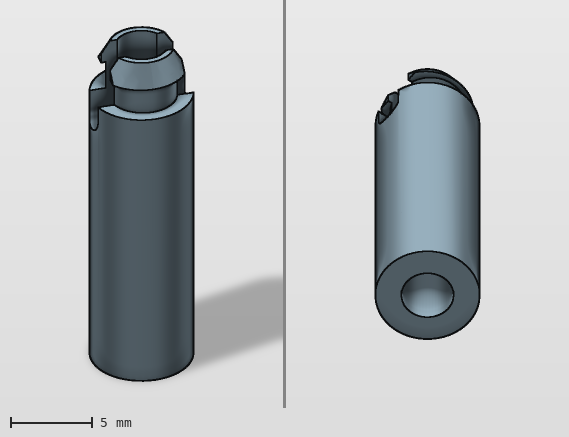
import cadquery as cq

total_height = 22.5
body_diameter = 6.4
bore_diameter = 3.2
body_height = 19.1

neck_reach = 2.4
neck_arc_offset = 0.3
head_base_z = 21.0
head_base_reach = 2.75
head_base_arc_offset = -0.2
head_top_reach = 2.0
head_top_arc_offset = 0.0
head_flat_width = 4.57

slot_width = 1.95
slot_bottom_z = 17.0


def cylinder(diameter, bottom, top):
    return cq.Workplane("XY").workplane(offset=bottom).circle(diameter / 2).extrude(top - bottom)


def make_neck(side):
    """Neck of the prong on the given side of the slot: +1 for +X, -1 for -X."""
    return (
        cq.Workplane("XY")
        .workplane(offset=body_height)
        .center(side * neck_arc_offset, 0)
        .circle(neck_reach - neck_arc_offset)
        .extrude(head_base_z - body_height)
    )


def make_head(side):
    """Tapered barb of one prong, with flats trimmed across Y."""
    cone = (
        cq.Workplane("XY")
        .workplane(offset=head_base_z)
        .center(side * head_base_arc_offset, 0)
        .circle(head_base_reach - head_base_arc_offset)
        .workplane(offset=total_height - head_base_z)
        .center(side * (head_top_arc_offset - head_base_arc_offset), 0)
        .circle(head_top_reach - head_top_arc_offset)
        .loft()
    )
    slab = cq.Workplane("XY").box(
        body_diameter, head_flat_width, total_height, centered=(True, True, False)
    )
    return cone.intersect(slab)


def make_prong(side):
    half_space = (
        cq.Workplane("XY")
        .center(side * body_diameter / 2, 0)
        .rect(body_diameter, body_diameter)
        .extrude(total_height)
    )
    return make_neck(side).union(make_head(side)).intersect(half_space)


def make_slot():
    """Slot along Y with a round bottom, open at the top."""
    round_center_z = slot_bottom_z + slot_width / 2
    round_bottom = (
        cq.Workplane("XZ")
        .center(0, round_center_z)
        .circle(slot_width / 2)
        .extrude(body_diameter / 2, both=True)
    )
    straight_part = (
        cq.Workplane("XY")
        .workplane(offset=round_center_z)
        .rect(slot_width, body_diameter)
        .extrude(total_height - round_center_z)
    )
    return round_bottom.union(straight_part)


body = cylinder(body_diameter, 0, body_height)
bore = cylinder(bore_diameter, 0, total_height)
prongs = make_prong(-1).union(make_prong(1))
result = body.union(prongs).cut(bore).cut(make_slot())